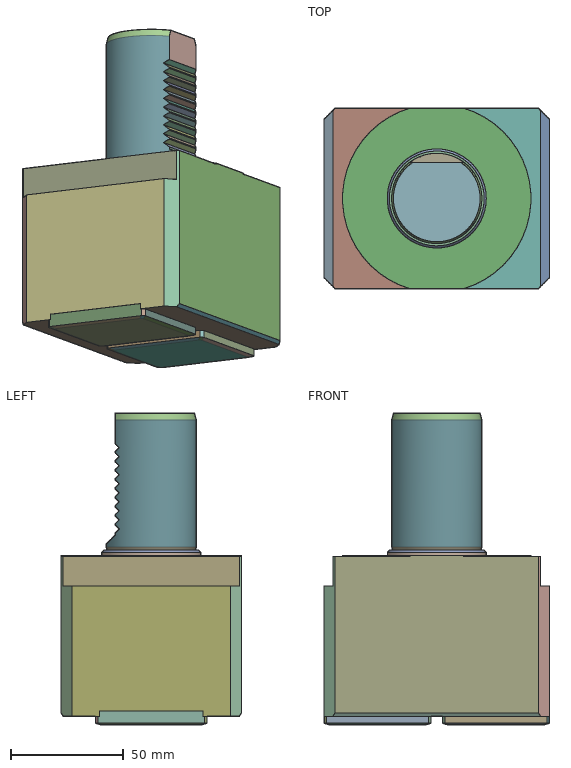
import cadquery as cq
import math


block_length = 100.0
block_width = 80.0
block_top = -0.4
block_bottom = -71.2
corner_chamfer = 5.0
bottom_chamfer_width = 1.0
bottom_chamfer_height = 1.5
step_length = 92.0
step_floor = -13.5

disc_diameter = 83.4

shank_diameter = 40.0
shank_length = 63.0
tip_taper_length = 3.0
tip_taper_angle = 15.0
foot_bevel_height = 1.3
foot_bevel_width = 0.4

collar_diameter = 43.86
collar_height = 2.4
collar_bevel_width = 0.95
collar_bevel_height = 1.1

flat_offset = 16.0
flat_end = 9.0
tooth_pitch = 4.0
tooth_depth = 1.75
tooth_groove_count = 10
lowest_groove = 11.7

overall_height = 137.99
plate_bottom = shank_length - overall_height
plate_gap = 5.0
plate_inset = 0.1
plate_length = (block_length - plate_gap) / 2 - plate_inset
plate_width = 49.4
plate_corner_chamfer = 1.2
plate_rim_height = 0.7
plate_rim_width = 2.2
tongue_width = 45.7
tongue_height = 2.4


def box_between(x_range, y_range, z_range):
    """Axis-aligned box given by its limits along each axis."""
    size = [high - low for low, high in (x_range, y_range, z_range)]
    corner = (x_range[0], y_range[0], z_range[0])
    return cq.Workplane("XY").box(*size, centered=False).translate(corner)


def make_block():
    """Chamfered block with a step along the top of both ends."""
    half_length = block_length / 2
    half_width = block_width / 2
    block = box_between(
        (-half_length, half_length), (-half_width, half_width), (block_bottom, block_top)
    )
    block = block.edges("|Z").chamfer(corner_chamfer)

    for side in (-1, 1):
        bevel = (
            cq.Workplane("YZ")
            .polyline([
                (side * half_width, block_bottom),
                (side * (half_width - bottom_chamfer_width), block_bottom),
                (side * half_width, block_bottom + bottom_chamfer_height),
            ])
            .close()
            .extrude(half_length, both=True)
        )
        block = block.cut(bevel)

    for inner, outer in ((-step_length / 2, -half_length), (step_length / 2, half_length)):
        step = box_between(sorted((inner, outer)), (-half_width, half_width), (step_floor, block_top))
        block = block.cut(step)
    return block


def make_disc():
    """Slightly raised round seating face, trimmed to the block width."""
    disc = cq.Workplane("XY").workplane(offset=block_top).circle(disc_diameter / 2).extrude(-block_top)
    trim = cq.Workplane("XY").box(disc_diameter, block_width, shank_length)
    return disc.intersect(trim)


def make_shank():
    """Turned shank and collar, revolved from one half profile."""
    shank_radius = shank_diameter / 2
    collar_radius = collar_diameter / 2
    tip_radius = shank_radius - tip_taper_length * math.tan(math.radians(tip_taper_angle))
    foot_radius = shank_radius - foot_bevel_width
    profile = [
        (0, block_top),
        (collar_radius, block_top),
        (collar_radius, collar_height - collar_bevel_height),
        (collar_radius - collar_bevel_width, collar_height),
        (foot_radius, collar_height),
        (shank_radius, collar_height + foot_bevel_height),
        (shank_radius, shank_length - tip_taper_length),
        (tip_radius, shank_length),
        (0, shank_length),
    ]
    return cq.Workplane("XZ").polyline(profile).close().revolve(360, (0, 0), (0, 1))


def make_flat_cutter():
    """Material removed for the flat and its sloping run-out."""
    shank_radius = shank_diameter / 2
    run_out = shank_radius - flat_offset
    return (
        cq.Workplane("YZ")
        .polyline([
            (flat_offset, shank_length),
            (flat_offset, flat_end),
            (shank_radius, flat_end - run_out),
            (shank_radius, shank_length),
        ])
        .close()
        .extrude(shank_radius, both=True)
    )


def make_groove_cutter(height):
    """Right-angled V groove across the flat, centred at the given height."""
    return (
        cq.Workplane("YZ")
        .polyline([
            (flat_offset, height - tooth_depth),
            (flat_offset - tooth_depth, height),
            (flat_offset, height + tooth_depth),
        ])
        .close()
        .extrude(shank_diameter / 2, both=True)
    )


def plate_section(inset):
    """Rectangle with chamfered corners, smaller than the plate outline by inset on every side."""
    sketch = cq.Sketch().rect(plate_length - 2 * inset, plate_width - 2 * inset)
    return sketch.vertices().chamfer(plate_corner_chamfer)


def make_plate(side):
    """Cover plate with a bevelled rim under one end of the block; side is -1 or 1 along X."""
    rim_top = plate_bottom + plate_rim_height
    body = (
        cq.Workplane("XY")
        .workplane(offset=rim_top)
        .placeSketch(plate_section(0))
        .extrude(block_bottom - rim_top)
    )
    rim_lift = cq.Location(cq.Vector(0, 0, plate_rim_height))
    rim = (
        cq.Workplane("XY")
        .workplane(offset=plate_bottom)
        .placeSketch(plate_section(plate_rim_width), plate_section(0).moved(rim_lift))
        .loft()
    )
    return body.union(rim).translate((side * (plate_gap + plate_length) / 2, 0, 0))


def make_tongue_recess(side):
    """Shallow recess in the block end where the tongue of the plate shows."""
    outer = side * block_length / 2
    return box_between(
        sorted((outer - side * plate_inset, outer)),
        (-tongue_width / 2, tongue_width / 2),
        (block_bottom, block_bottom + tongue_height),
    )


shank = make_shank().cut(make_flat_cutter())
for index in range(tooth_groove_count):
    shank = shank.cut(make_groove_cutter(lowest_groove + index * tooth_pitch))

result = make_block().union(make_disc()).union(shank)
for end in (-1, 1):
    result = result.cut(make_tongue_recess(end)).union(make_plate(end))